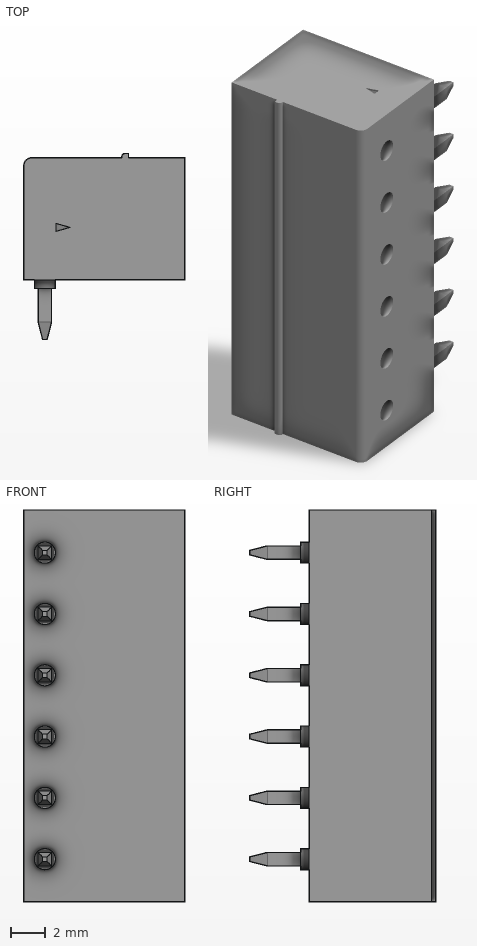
import cadquery as cq

body_width = 9.2
body_depth = 7.0
body_height = 22.4
edge_radius = 0.47

rib_start = 5.6
rib_width = 0.4
rib_height = 0.25
rib_root = 0.22
rib_radius = 0.2

contact_count = 6
end_margin = 2.45
contact_pitch = (body_height - 2 * end_margin) / (contact_count - 1)

pin_x = 1.2
collar_diameter = 1.2
collar_length = 0.5
shank_side = 0.78
tip_side = 0.27
tip_length = 1.0
pin_length = 3.4
shank_length = pin_length - collar_length - tip_length

hole_y = 4.61
hole_diameter = 1.25
hole_depth = 4.48

mark_x = 1.85
mark_y = 3.0
mark_length = 0.78
mark_width = 0.45
mark_depth = 0.1

contact_heights = [end_margin + i * contact_pitch for i in range(contact_count)]


def make_body():
    """Block with its vertical -X, +Y edge rounded."""
    block = cq.Workplane("XY").box(body_width, body_depth, body_height, centered=False)
    return block.edges("|Z and <X and >Y").fillet(edge_radius)


def make_rib():
    """Rib with its outer -X edge rounded, sunk into the block by its root."""
    rib = cq.Workplane("XY").box(rib_width, rib_root + rib_height, body_height, centered=False)
    rib = rib.edges("|Z and <X and >Y").fillet(rib_radius)
    return rib.translate((rib_start, body_depth - rib_root, 0))


def make_pin(z):
    """Collar, shank and tip standing out of the -Y face at height z."""
    face = cq.Workplane("XZ", origin=(pin_x, 0, z))
    collar = face.circle(collar_diameter / 2).extrude(collar_length)
    shank = face.workplane(offset=collar_length).rect(shank_side, shank_side).extrude(shank_length)
    tip = (
        face.workplane(offset=collar_length + shank_length)
        .rect(shank_side, shank_side)
        .workplane(offset=tip_length)
        .rect(tip_side, tip_side)
        .loft(ruled=True)
    )
    return collar.union(shank).union(tip)


def make_hole(z):
    """Cutter for the round hole entering the -X face at height z."""
    return cq.Workplane("YZ", origin=(0, hole_y, z)).circle(hole_diameter / 2).extrude(hole_depth)


def make_mark():
    """Cutter for the triangular mark."""
    base_corners = [(0, -mark_width / 2), (0, mark_width / 2)]
    return (
        cq.Workplane("XY", origin=(mark_x, mark_y, body_height))
        .polyline([*base_corners, (mark_length, 0)])
        .close()
        .extrude(-mark_depth)
    )


result = make_body().union(make_rib())
for height in contact_heights:
    result = result.union(make_pin(height)).cut(make_hole(height))
result = result.cut(make_mark())